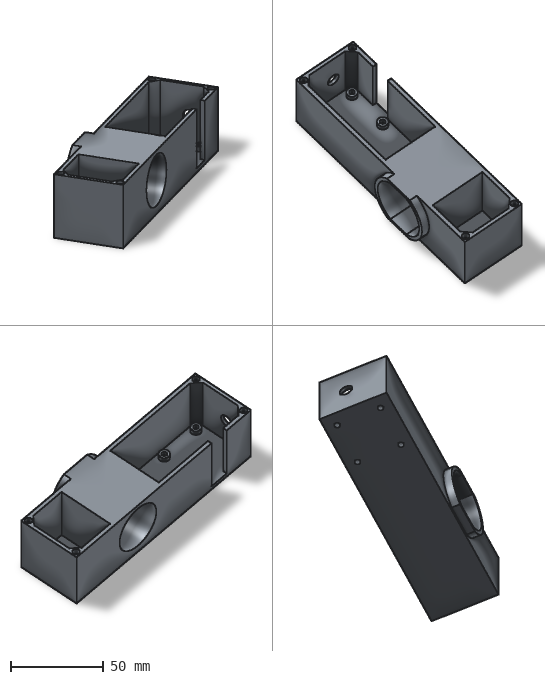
import cadquery as cq

LENGTH = 142.5
COLLAR_LENGTH = 5.0
WIDTH = 45.0 - COLLAR_LENGTH
HEIGHT = 37.5

SIDE_WALL = 2.5
END_WALL = 2.3
FLOOR = 2.5
CORNER_CUT = 4.8
BLOCK_LENGTH = 39.9
FRONT_POCKET_LENGTH = 28.0
BLOCK_START = END_WALL + FRONT_POCKET_LENGTH
BLOCK_END = BLOCK_START + BLOCK_LENGTH
REAR_POCKET_LENGTH = LENGTH - END_WALL - BLOCK_END

LENS_Y = BLOCK_START + BLOCK_LENGTH / 2
LENS_Z = 20.0
COLLAR_DIAMETER = BLOCK_LENGTH
COLLAR_FLATS = 2 * (HEIGHT - LENS_Z)
SEAT_DIAMETER = 35.0
SEAT_FLATS = 32.3
SEAT_DEPTH = 20.0
BORE_DIAMETER = 30.0

LID_HOLE_DIAMETER = 4.1
LID_HOLE_DEPTH = 10.0
LID_HOLE_INSET = 2.8

STANDOFF_HOLE_DIAMETER = 3.1
STANDOFF_DIAMETER = 6.3
STANDOFF_HEIGHT = 3.0
STANDOFF_SPACING = 26.0
STANDOFF_END_OFFSET = 7.5
STANDOFF_CENTER_Y = LENGTH - STANDOFF_END_OFFSET - STANDOFF_SPACING / 2

SLOT_WIDTH = 12.4
SLOT_END_OFFSET = 19.8
CABLE_HOLE_DIAMETER = 7.5
CABLE_HOLE_X = 24.2
CABLE_HOLE_Z = HEIGHT / 2


def pocket(start_y, length, cut_edges):
    """Open-topped compartment with its outer vertical corners cut at 45 degrees."""
    body = cq.Workplane("XY").box(WIDTH - 2 * SIDE_WALL, length, HEIGHT - FLOOR, centered=False)
    body = body.faces(cut_edges).edges("|Z").chamfer(CORNER_CUT)
    return body.translate((SIDE_WALL, start_y, FLOOR))


def flatted_cylinder(diameter, flats, length):
    """Cylinder along X from the collar face, with flats above and below."""
    cylinder = cq.Workplane("YZ").circle(diameter / 2).extrude(length)
    slab = cq.Workplane("YZ").rect(diameter, flats).extrude(length)
    return cylinder.intersect(slab).translate((-COLLAR_LENGTH, LENS_Y, LENS_Z))


def vertical_cylinders(points, diameter, bottom, height):
    base = cq.Workplane("XY").workplane(offset=bottom)
    return base.pushPoints(points).circle(diameter / 2).extrude(height)


result = cq.Workplane("XY").box(WIDTH, LENGTH, HEIGHT, centered=False)
result = result.cut(pocket(END_WALL, FRONT_POCKET_LENGTH, "<Y"))
result = result.cut(pocket(BLOCK_END, REAR_POCKET_LENGTH, ">Y"))

result = result.union(flatted_cylinder(COLLAR_DIAMETER, COLLAR_FLATS, COLLAR_LENGTH))
result = result.cut(flatted_cylinder(SEAT_DIAMETER, SEAT_FLATS, SEAT_DEPTH))
result = result.cut(flatted_cylinder(BORE_DIAMETER, BORE_DIAMETER, COLLAR_LENGTH + WIDTH))

lid_points = [
    (x, y)
    for x in (LID_HOLE_INSET, WIDTH - LID_HOLE_INSET)
    for y in (LID_HOLE_INSET, LENGTH - LID_HOLE_INSET)
]
result = result.cut(
    vertical_cylinders(lid_points, LID_HOLE_DIAMETER, HEIGHT - LID_HOLE_DEPTH, LID_HOLE_DEPTH)
)

standoff_points = [
    (WIDTH / 2 + i * STANDOFF_SPACING / 2, STANDOFF_CENTER_Y + j * STANDOFF_SPACING / 2)
    for i in (-1, 1)
    for j in (-1, 1)
]
standoff_top = FLOOR + STANDOFF_HEIGHT
result = result.union(vertical_cylinders(standoff_points, STANDOFF_DIAMETER, 0, standoff_top))
result = result.cut(vertical_cylinders(standoff_points, STANDOFF_HOLE_DIAMETER, 0, standoff_top))

slot = cq.Workplane("XY").box(SIDE_WALL, SLOT_WIDTH, HEIGHT - FLOOR, centered=False)
slot_start = LENGTH - SLOT_END_OFFSET - SLOT_WIDTH
result = result.cut(slot.translate((WIDTH - SIDE_WALL, slot_start, FLOOR)))

cable_hole = cq.Workplane("XZ").circle(CABLE_HOLE_DIAMETER / 2).extrude(END_WALL)
result = result.cut(cable_hole.translate((CABLE_HOLE_X, LENGTH, CABLE_HOLE_Z)))